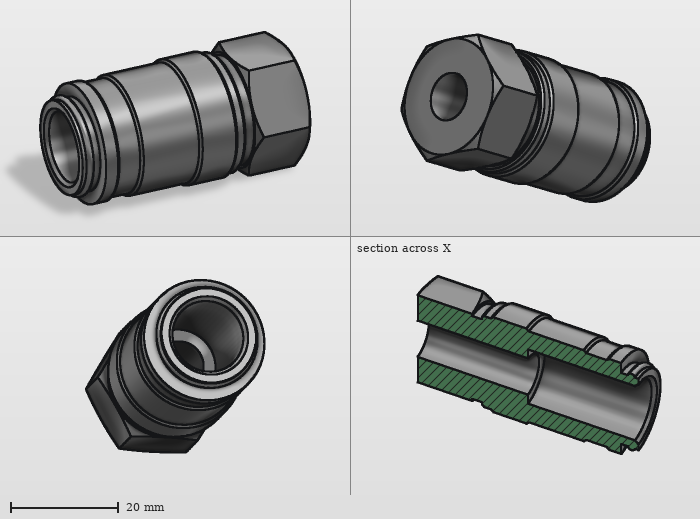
import cadquery as cq
import math

length = 46.0

hex_corner_diameter = 25.4
hex_length = 11.35
hex_chamfer_angle = 30.0

neck_radius = 10.5
body_radius = 11.5
collar_radius = 12.0
groove_radius = 11.0
plug_radius = 9.0
bead_radius = 9.65

shoulder_y = 3.65
groove_start = 6.62
groove_end = 10.9
collar_start = 22.8
collar_end = 30.75
body_end = 32.6
bead_start = 0.8
bead_width = 1.45

body_chamfer = 0.45

through_radius = 4.5
socket_radius = 6.75
socket_depth = 23.0
socket_chamfer = 0.75

hex_start = length - hex_length
groove_slope = body_radius - groove_radius
collar_chamfer = collar_radius - body_radius


def make_turned_body():
    """Revolve the stepped outer profile, drawn as (radius, Y)."""
    bead_end = bead_start + bead_width
    profile = (
        cq.Workplane("XY")
        .moveTo(0, 0)
        .lineTo(plug_radius, 0)
        .lineTo(plug_radius, bead_start)
        .threePointArc((bead_radius, bead_start + bead_width / 2), (plug_radius, bead_end))
        .lineTo(plug_radius, shoulder_y)
        .lineTo(body_radius, shoulder_y)
        .lineTo(body_radius, groove_start - groove_slope)
        .lineTo(groove_radius, groove_start)
        .lineTo(groove_radius, groove_end)
        .lineTo(body_radius, groove_end + groove_slope)
        .lineTo(body_radius, collar_start)
        .lineTo(collar_radius, collar_start + collar_chamfer)
        .lineTo(collar_radius, collar_end - collar_chamfer)
        .lineTo(body_radius, collar_end)
        .lineTo(body_radius, body_end - body_chamfer)
        .lineTo(body_radius - body_chamfer, body_end)
        .lineTo(neck_radius, body_end)
        .lineTo(neck_radius, hex_start)
        .lineTo(0, hex_start)
        .close()
    )
    return profile.revolve(360, (0, 0, 0), (0, 1, 0))


def make_hexagon():
    """Hexagonal prism with corners along X, trimmed by a cone at both ends."""
    corner_radius = hex_corner_diameter / 2
    face_radius = corner_radius * math.cos(math.radians(30))
    chamfer_length = (corner_radius - face_radius) * math.tan(math.radians(hex_chamfer_angle))
    prism = (
        cq.Workplane("XZ", origin=(0, length, 0))
        .polygon(6, hex_corner_diameter)
        .extrude(hex_length)
    )
    envelope = (
        cq.Workplane("XY")
        .moveTo(0, hex_start)
        .lineTo(face_radius, hex_start)
        .lineTo(corner_radius, hex_start + chamfer_length)
        .lineTo(corner_radius, length - chamfer_length)
        .lineTo(face_radius, length)
        .lineTo(0, length)
        .close()
        .revolve(360, (0, 0, 0), (0, 1, 0))
    )
    return prism.intersect(envelope)


def make_bore():
    """Through hole with a wider socket and a chamfered mouth at the plug end."""
    mouth_radius = socket_radius + socket_chamfer
    profile = (
        cq.Workplane("XY")
        .moveTo(0, 0)
        .lineTo(mouth_radius, 0)
        .lineTo(socket_radius, socket_chamfer)
        .lineTo(socket_radius, socket_depth)
        .lineTo(through_radius, socket_depth)
        .lineTo(through_radius, length)
        .lineTo(0, length)
        .close()
    )
    return profile.revolve(360, (0, 0, 0), (0, 1, 0))


result = make_turned_body().union(make_hexagon()).cut(make_bore())